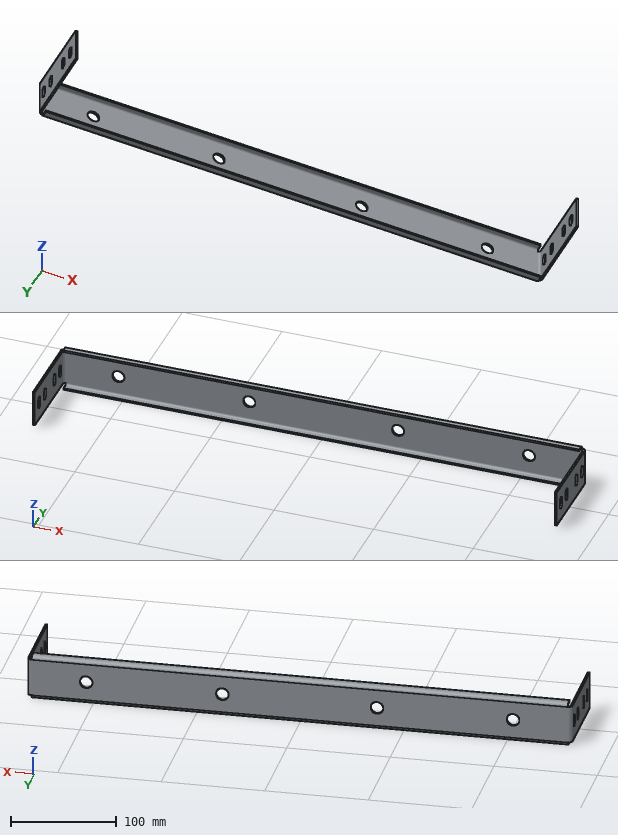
import cadquery as cq

length = 526.0
depth = 82.0
height = 44.0
sheet = 2.0
bend_radius = 4.0
inner_radius = bend_radius - sheet

flange_reach = 8.5
arm_height = 37.0
channel_length = length - 2 * bend_radius

hole_diameter = 12.0
hole_offsets = (74.5, 206.0)

slot_width = 6.5
slot_height = 12.0
slot_pair_pitch = 16.0
slot_pair_centers = (19.5, 62.0)

back_y = depth / 2


def bent_u(width, reach, extrusion):
    """Upright sheet of U section, open toward -Y and centred on the Z axis."""
    def solid(section_width, back, radius):
        front = back_y - reach
        block = (
            cq.Workplane("XY")
            .box(section_width, back - front, extrusion)
            .translate((0, (back + front) / 2, 0))
        )
        return block.edges("|Z and >Y").fillet(radius)

    outer = solid(width, back_y, bend_radius)
    inner = solid(width - 2 * sheet, back_y - sheet, inner_radius)
    return outer.cut(inner)


channel = bent_u(height, flange_reach, channel_length).rotate((0, 0, 0), (0, 1, 0), 90)
arms = bent_u(length, depth, arm_height)
result = channel.union(arms)

hole_points = [(side * offset, 0) for side in (-1, 1) for offset in hole_offsets]
holes = (
    cq.Workplane("XZ", origin=(0, back_y + sheet, 0))
    .pushPoints(hole_points)
    .circle(hole_diameter / 2)
    .extrude(3 * sheet)
)
result = result.cut(holes)

slot_points = [
    (back_y - center + side * slot_pair_pitch / 2, 0)
    for center in slot_pair_centers
    for side in (-1, 1)
]
slots = (
    cq.Workplane("YZ")
    .pushPoints(slot_points)
    .slot2D(slot_height, slot_width, 90)
    .extrude(length, both=True)
)
result = result.cut(slots)